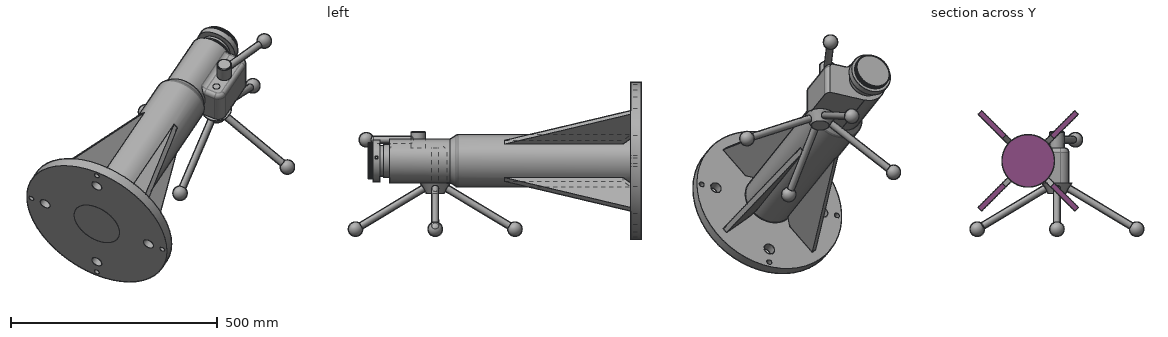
import cadquery as cq
import math


PLATE_DIAMETER = 381.0
PLATE_THICKNESS = 25.5
BOLT_HOLE_DIAMETER = 27.0
BOLT_HOLE_RADIUS = 140.0
LEVELLING_HOLE_DIAMETER = 13.0
LEVELLING_HOLE_RADIUS = 178.0
HOLES_PER_CIRCLE = 4
SPIGOT_RADIUS = 61.5

TUBE_RADIUS = 64.0
SHOULDER_HEIGHT = 16.0
RIM_ROUND = 7.0
SHOULDER_TOP = 462.0
HEAD_RADIUS = 53.0
HEAD_TOP = 608.5

GUSSET_THICKNESS = 13.0
GUSSET_REACH = 166.0
GUSSET_TOP = 330.0
GUSSET_CORNER_CUT = 18.5
GUSSET_COUNT = 4

BLOCK_RIGHT = 98.5
BLOCK_TOP = 31.0
BLOCK_BOTTOM = -54.0
BLOCK_LOWER_END = 469.5
BLOCK_OVERRUN = 4.0
BLOCK_CORNER_RADIUS = 20.0
BLOCK_EDGE_ROUND = 10.5
BLEND_RADIUS = 18.5

COLLAR_RADIUS = 40.5
COLLAR_TOP = 622.5
NECK_RADIUS = 37.5
RING_RADIUS = 51.0
RING_BOTTOM = 632.0
RING_TOP = 648.0
THREAD_RADIUS = 44.0
THREAD_ROOT_RADIUS = 42.5
THREAD_PITCH = 2.0
THREAD_COUNT = 6
SPANNER_HOLE_DIAMETER = 7.0
SPANNER_HOLE_DEPTH = 10.5
SPANNER_HOLE_ANGLE = 10

BALL_RADIUS = 18.0
ROD_RADIUS = 8.5

PIVOT_X = 69.5
PIVOT_Y = 498.0
PIN_RADIUS = 8.5
HUB_TOP_RADIUS = 36.0
HUB_BOTTOM_RADIUS = 21.0
HUB_BOTTOM = -79.0
ARM_REACH = 193.0
ARM_BALL_Z = -165.0
ARM_AXIS_Z = -49.5
ARM_COUNT = 4

KNOB_RADIUS = 18.0
KNOB_Y = 539.0
KNOB_CHAMFER = 2.0
KNOB_TOP = 71.0
LEVER_LENGTH = 133.0
LEVER_TILT = 19.5
LEVER_Z = 51.0


def disc(radius, bottom, top):
    """Solid cylinder about the column axis."""
    return cq.Workplane("XZ", origin=(0, bottom, 0)).circle(radius).extrude(bottom - top)


def ball_rod(start, end):
    """Round rod from start to a ball centred on end."""
    axis = cq.Vector(*end) - cq.Vector(*start)
    rod = cq.Solid.makeCylinder(ROD_RADIUS, axis.Length, cq.Vector(*start), axis)
    ball = cq.Workplane("XY", origin=end).sphere(BALL_RADIUS)
    return ball.union(cq.Workplane(rod))


def make_plate():
    plate = disc(PLATE_DIAMETER / 2, 0, PLATE_THICKNESS)
    for diameter, radius in (
        (BOLT_HOLE_DIAMETER, BOLT_HOLE_RADIUS),
        (LEVELLING_HOLE_DIAMETER, LEVELLING_HOLE_RADIUS),
    ):
        holes = (
            cq.Workplane("XZ")
            .polarArray(radius, 0, 360, HOLES_PER_CIRCLE)
            .circle(diameter / 2)
            .extrude(-PLATE_THICKNESS)
        )
        plate = plate.cut(holes)
    return plate.cut(disc(SPIGOT_RADIUS, 0, PLATE_THICKNESS))


def make_shaft():
    """Spigot, tube, conical shoulder and head turned about the column axis."""
    profile = (
        cq.Workplane("XY")
        .lineTo(SPIGOT_RADIUS, 0)
        .lineTo(SPIGOT_RADIUS, PLATE_THICKNESS)
        .lineTo(TUBE_RADIUS, PLATE_THICKNESS)
        .lineTo(TUBE_RADIUS, SHOULDER_TOP - SHOULDER_HEIGHT)
        .lineTo(HEAD_RADIUS, SHOULDER_TOP)
        .lineTo(HEAD_RADIUS, HEAD_TOP)
        .lineTo(0, HEAD_TOP)
        .close()
    )
    shaft = profile.revolve(360, (0, 0, 0), (0, 1, 0))
    rim = (0, SHOULDER_TOP - SHOULDER_HEIGHT, TUBE_RADIUS)
    return shaft.edges(cq.NearestToPointSelector(rim)).fillet(RIM_ROUND)


def make_gussets():
    """Tapered webs between plate and tube, each with a cut inner corner."""
    web = (
        cq.Workplane("XY", origin=(0, 0, -GUSSET_THICKNESS / 2))
        .moveTo(0, PLATE_THICKNESS + GUSSET_CORNER_CUT)
        .lineTo(TUBE_RADIUS, PLATE_THICKNESS + GUSSET_CORNER_CUT)
        .lineTo(TUBE_RADIUS + GUSSET_CORNER_CUT, PLATE_THICKNESS)
        .lineTo(GUSSET_REACH, PLATE_THICKNESS)
        .lineTo(TUBE_RADIUS, GUSSET_TOP)
        .lineTo(0, GUSSET_TOP)
        .close()
        .extrude(GUSSET_THICKNESS)
    )
    spacing = 360 / GUSSET_COUNT
    return [
        web.rotate((0, 0, 0), (0, 1, 0), spacing * (i + 0.5)) for i in range(GUSSET_COUNT)
    ]


def make_block():
    """Rounded clamp block whose top runs into the head through a concave blend."""
    blend_z = BLOCK_TOP + BLEND_RADIUS
    blend_x = math.sqrt((HEAD_RADIUS + BLEND_RADIUS) ** 2 - blend_z**2)
    touch = HEAD_RADIUS / (HEAD_RADIUS + BLEND_RADIUS)
    blend_mid_angle = math.atan2(blend_x, blend_z) / 2
    block_end = HEAD_TOP + BLOCK_OVERRUN

    body = (
        cq.Workplane("XZ", origin=(0, block_end, 0))
        .lineTo(blend_x * touch, blend_z * touch)
        .threePointArc(
            (
                blend_x - BLEND_RADIUS * math.sin(blend_mid_angle),
                blend_z - BLEND_RADIUS * math.cos(blend_mid_angle),
            ),
            (blend_x, BLOCK_TOP),
        )
        .lineTo(BLOCK_RIGHT, BLOCK_TOP)
        .lineTo(BLOCK_RIGHT, BLOCK_BOTTOM)
        .lineTo(0, BLOCK_BOTTOM)
        .close()
        .extrude(block_end - BLOCK_LOWER_END)
        .edges("|Z and >X")
        .fillet(BLOCK_CORNER_RADIUS)
    )
    outer_edge = (BLOCK_RIGHT, (block_end + BLOCK_LOWER_END) / 2, BLOCK_TOP)
    body = body.edges(cq.NearestToPointSelector(outer_edge)).fillet(BLOCK_EDGE_ROUND)
    return body.cut(disc(PLATE_DIAMETER, HEAD_TOP, block_end))


def make_column():
    column = make_shaft().union(make_block())
    for gusset in make_gussets():
        column = column.union(gusset)
    pin_hole = (
        cq.Workplane("XY", origin=(PIVOT_X, PIVOT_Y, BLOCK_BOTTOM))
        .circle(PIN_RADIUS)
        .extrude(BLOCK_TOP - BLOCK_BOTTOM)
    )
    return column.cut(pin_hole)


def make_spindle():
    """Collar, neck, ring and threaded end standing on the head."""
    spindle = disc(COLLAR_RADIUS, HEAD_TOP, COLLAR_TOP)
    spindle = spindle.union(disc(NECK_RADIUS, COLLAR_TOP, RING_BOTTOM))
    spindle = spindle.union(disc(RING_RADIUS, RING_BOTTOM, RING_TOP))

    thread = cq.Workplane("XY").moveTo(0, RING_TOP).lineTo(THREAD_ROOT_RADIUS, RING_TOP)
    for turn in range(THREAD_COUNT):
        root_y = RING_TOP + turn * THREAD_PITCH
        thread = thread.lineTo(THREAD_RADIUS, root_y + THREAD_PITCH / 2)
        thread = thread.lineTo(THREAD_ROOT_RADIUS, root_y + THREAD_PITCH)
    thread = thread.lineTo(0, RING_TOP + THREAD_COUNT * THREAD_PITCH).close()
    spindle = spindle.union(thread.revolve(360, (0, 0, 0), (0, 1, 0)))

    ring_middle = (RING_BOTTOM + RING_TOP) / 2
    spanner_hole = (
        cq.Workplane("YZ", origin=(-RING_RADIUS, ring_middle, 0))
        .circle(SPANNER_HOLE_DIAMETER / 2)
        .extrude(SPANNER_HOLE_DEPTH)
        .rotate((0, 0, 0), (0, 1, 0), SPANNER_HOLE_ANGLE)
    )
    return spindle.cut(spanner_hole)


def make_hub():
    """Conical hub with its pin and four drooping ball-ended arms."""
    hub = (
        cq.Workplane("XY", origin=(PIVOT_X, PIVOT_Y, BLOCK_BOTTOM))
        .circle(HUB_TOP_RADIUS)
        .workplane(offset=HUB_BOTTOM - BLOCK_BOTTOM)
        .circle(HUB_BOTTOM_RADIUS)
        .loft()
    )
    pin = (
        cq.Workplane("XY", origin=(PIVOT_X, PIVOT_Y, BLOCK_BOTTOM))
        .circle(PIN_RADIUS)
        .extrude(BLOCK_TOP - BLOCK_BOTTOM)
    )
    hub = hub.union(pin)
    start_share = 0.12
    start_radius = start_share * ARM_REACH
    start_z = ARM_AXIS_Z + start_share * (ARM_BALL_Z - ARM_AXIS_Z)
    for i in range(ARM_COUNT):
        angle = math.radians(i * 360 / ARM_COUNT)
        start = (
            PIVOT_X + start_radius * math.cos(angle),
            PIVOT_Y + start_radius * math.sin(angle),
            start_z,
        )
        end = (
            PIVOT_X + ARM_REACH * math.cos(angle),
            PIVOT_Y + ARM_REACH * math.sin(angle),
            ARM_BALL_Z,
        )
        hub = hub.union(ball_rod(start, end))
    return hub


def make_lever():
    """Round knob standing on the block, with a level ball-ended rod."""
    knob = (
        cq.Workplane("XY", origin=(PIVOT_X, KNOB_Y, BLOCK_TOP))
        .circle(KNOB_RADIUS)
        .extrude(KNOB_TOP - BLOCK_TOP)
        .faces(">Z")
        .chamfer(KNOB_CHAMFER)
    )
    tilt = math.radians(LEVER_TILT)
    start = (PIVOT_X, KNOB_Y, LEVER_Z)
    end = (
        PIVOT_X + LEVER_LENGTH * math.sin(tilt),
        KNOB_Y + LEVER_LENGTH * math.cos(tilt),
        LEVER_Z,
    )
    return knob.union(ball_rod(start, end))


plate = make_plate()
column = make_column()
spindle = make_spindle()
hub = make_hub()
lever = make_lever()

result = cq.Compound.makeCompound(
    [plate.val(), column.val(), spindle.val(), hub.val(), lever.val()]
)